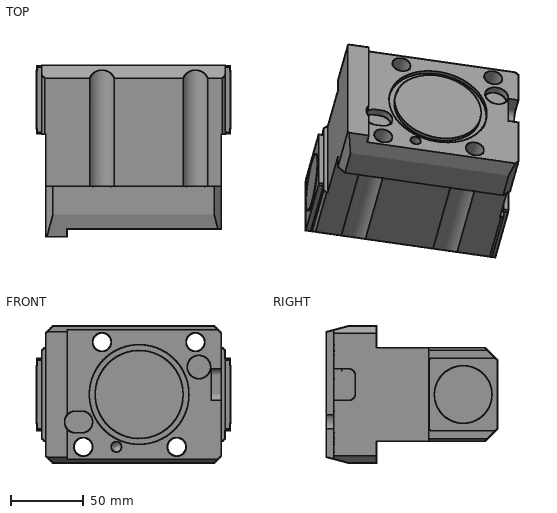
import cadquery as cq
import math

EPS = 1.4

total_depth = 119.0
body_width = 121.8
body_height = 65.1
back_chamfer = 8.9

flange_back_y = 35.0
flange_height = 95.0
flange_corner_chamfer = 5.0
bevel_length = 15.4
bevel_angle = 15.0

front_face_y = 5.3
lip_width = 14.8

plate_width = 127.2
plate_depth = 47.9
plate_chamfer = 2.0
pad_width = 134.0
pad_height = 50.0
pad_depth = 47.4
pad_corner_chamfer = 1.1
disc_span = 135.0
disc_diameter = 40.0
side_center_y = total_depth - plate_depth / 2

hole_diameter = 12.7
hole_spacing = 64.8
hole_row_z = 36.3
top_row_center_x = 10.5
bottom_row_center_x = -2.4
groove_radius = 9.3

ring_center_x = 3.9
ring_outer_radius = 34.5
ring_inner_radius = 30.5
ring_depth = 2.5

pocket_x = 45.4
pocket_z = 19.0
pocket_diameter = 16.2
pocket_depth = 5.4
slot_x = -38.1
slot_z = -pocket_z
slot_length = 19.5
slot_height = 15.1

drill_x = -11.9
drill_diameter = 7.2
drill_depth = 13.5
drill_tip_angle = 118.0

notch_depth_x = 7.2
notch_height = 21.9
notch_center_z = 6.9
notch_floor_y = 20.2
notch_corner_radius = 4.7


def box(x_range, y_range, z_range):
    """Box from three (low, high) ranges."""
    size = [high - low for low, high in (x_range, y_range, z_range)]
    return cq.Workplane("XY").box(*size, centered=False).translate((x_range[0], y_range[0], z_range[0]))


def centered_block(width, height, y_start, y_end):
    """Block centred on X and Z between two Y positions."""
    return box((-width / 2, width / 2), (y_start, y_end), (-height / 2, height / 2))


def front_plane(y):
    """Sketch plane at the given Y, facing -Y, with X and Z as its axes; negative extrusion runs toward +Y."""
    return cq.Workplane(cq.Plane(origin=(0, y, 0), xDir=(1, 0, 0), normal=(0, -1, 0)))


def make_flange():
    flange = centered_block(body_width, flange_height, 0, flange_back_y)
    flange = flange.edges("|Y").chamfer(flange_corner_chamfer)

    bevel_drop = bevel_length * math.tan(math.radians(bevel_angle))
    half = flange_height / 2
    profile = [
        (0, -half + bevel_drop),
        (bevel_length, -half),
        (flange_back_y, -half),
        (flange_back_y, half),
        (bevel_length, half),
        (0, half - bevel_drop),
    ]
    envelope = cq.Workplane("YZ").polyline(profile).close().extrude(body_width / 2, both=True)
    flange = flange.intersect(envelope)

    step = box(
        (-body_width / 2 + lip_width, body_width / 2 + EPS),
        (-EPS, front_face_y),
        (-flange_height, flange_height),
    )
    return flange.cut(step)


def make_body():
    body = centered_block(body_width, body_height, flange_back_y, total_depth)
    plate = centered_block(plate_width, body_height, total_depth - plate_depth, total_depth)
    plate = plate.edges("|Y").chamfer(plate_chamfer)

    half = body_height / 2
    profile = [
        (flange_back_y, -half),
        (total_depth - back_chamfer, -half),
        (total_depth, -half + back_chamfer),
        (total_depth, half - back_chamfer),
        (total_depth - back_chamfer, half),
        (flange_back_y, half),
    ]
    envelope = cq.Workplane("YZ").polyline(profile).close().extrude(plate_width / 2, both=True)
    return body.union(plate).intersect(envelope)


def make_side_pad(side):
    """Pad and thin disc standing on the outer face of one side plate; side is -1 or +1."""
    plate_face = cq.Workplane("YZ", origin=(side * plate_width / 2, side_center_y, 0))
    pad_thickness = (pad_width - plate_width) / 2
    disc_thickness = (disc_span - plate_width) / 2
    pad = plate_face.rect(pad_depth, pad_height).extrude(side * pad_thickness)
    pad = pad.edges("|X").chamfer(pad_corner_chamfer)
    disc = plate_face.circle(disc_diameter / 2).extrude(side * disc_thickness)
    return pad.union(disc)


def mounting_positions():
    """(x, z) of the four mounting holes; the two rows are staggered in X."""
    rows = ((top_row_center_x, hole_row_z), (bottom_row_center_x, -hole_row_z))
    return [(center + side * hole_spacing / 2, z) for center, z in rows for side in (-1, 1)]


def mounting_cuts():
    points = mounting_positions()
    holes = front_plane(-EPS).pushPoints(points).circle(hole_diameter / 2).extrude(-(flange_back_y + 2 * EPS))
    groove_length = total_depth - flange_back_y + EPS
    grooves = front_plane(flange_back_y).pushPoints(points).circle(groove_radius).extrude(-groove_length)
    return holes.union(grooves)


def ring_cut():
    return (
        front_plane(front_face_y)
        .center(ring_center_x, 0)
        .circle(ring_outer_radius)
        .circle(ring_inner_radius)
        .extrude(-ring_depth)
    )


def pin_pocket_cuts():
    """Round pocket and the matching slot, which also bites into the lip."""
    length = front_face_y + pocket_depth
    pocket = front_plane(0).center(pocket_x, pocket_z).circle(pocket_diameter / 2).extrude(-length)
    slot = front_plane(0).center(slot_x, slot_z).slot2D(slot_length, slot_height).extrude(-length)
    return pocket.union(slot)


def drilled_hole_cut():
    """Blind hole with a conical bottom."""
    radius = drill_diameter / 2
    tip = radius / math.tan(math.radians(drill_tip_angle / 2))
    profile = [(0, 0), (radius, 0), (radius, drill_depth), (0, drill_depth + tip)]
    drill = cq.Workplane("XY").polyline(profile).close().revolve(360, (0, 0, 0), (0, 1, 0))
    return drill.translate((drill_x, front_face_y, -hole_row_z))


def notch_cut():
    """Notch in the +X edge of the flange with rounded floor corners."""
    notch = box(
        (body_width / 2 - notch_depth_x, body_width / 2 + EPS),
        (-EPS, notch_floor_y),
        (notch_center_z - notch_height / 2, notch_center_z + notch_height / 2),
    )
    return notch.edges(">Y and |X").fillet(notch_corner_radius)


result = make_flange().union(make_body()).union(make_side_pad(-1)).union(make_side_pad(1))
for cut in (mounting_cuts(), ring_cut(), pin_pocket_cuts(), drilled_hole_cut(), notch_cut()):
    result = result.cut(cut)